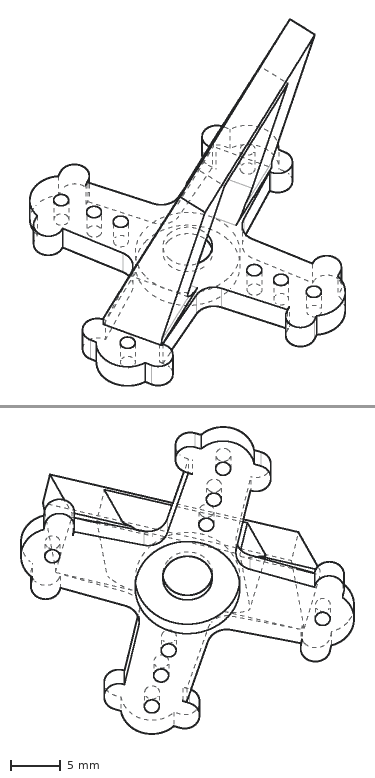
import cadquery as cq
import math

base_thickness = 3.0
corner_hole_offset = 10.0
end_pad_radius = 3.2
ear_radius = 1.5
side_ear = (12.58, 7.65)
edge_ear = (7.35, 12.32)
arm_corner_side = (11.33, 6.7)
arm_corner_edge = (6.45, 11.15)
arm_root_x = 5.2
arm_root_y = 5.27
arm_fillet = 2.0

centre_hole_diameter = 5.0
recess_diameter = 10.6
recess_roof = 1.0
small_hole_diameter = 1.5
middle_hole_distance = 10.45
inner_hole_distance = 7.48

total_height = 27.45
frame_width = 26.0
frame_turn = 45
foot_half_depth = 3.27
foot_top = 3.97
lean_angle = math.radians(20.1)
top_thickness = 2.98
window_width = 14.98
window_fillet = 2.93
window_top_front = 25.55


def arm_end_bar():
    """Rounded bar that joins the two ears of the +X +Y arm."""
    dx = side_ear[0] - edge_ear[0]
    dy = side_ear[1] - edge_ear[1]
    middle = ((side_ear[0] + edge_ear[0]) / 2, (side_ear[1] + edge_ear[1]) / 2)
    length = math.hypot(dx, dy) + 2 * ear_radius
    angle = math.degrees(math.atan2(dy, dx))
    return (
        cq.Workplane("XY")
        .center(*middle)
        .slot2D(length, 2 * ear_radius, angle)
        .extrude(base_thickness)
    )


def base_plate():
    side_x, side_y = arm_corner_side
    edge_x, edge_y = arm_corner_edge
    outline = [
        (arm_root_x, 0), (side_x, side_y), (edge_x, edge_y),
        (0, arm_root_y), (-edge_x, edge_y), (-side_x, side_y),
        (-arm_root_x, 0), (-side_x, -side_y), (-edge_x, -edge_y),
        (0, -arm_root_y), (edge_x, -edge_y), (side_x, -side_y),
    ]
    plate = cq.Workplane("XY").polyline(outline).close().extrude(base_thickness)
    for root in [(arm_root_x, 0), (0, arm_root_y), (-arm_root_x, 0), (0, -arm_root_y)]:
        nearest = cq.selectors.NearestToPointSelector((*root, base_thickness / 2))
        plate = plate.edges("|Z").edges(nearest).fillet(arm_fillet)

    pad = (
        cq.Workplane("XY")
        .center(corner_hole_offset, corner_hole_offset)
        .circle(end_pad_radius)
        .extrude(base_thickness)
    )
    arm_end = arm_end_bar().union(pad)
    right_ends = arm_end.union(arm_end.mirror("XZ"))
    return plate.union(right_ends).union(right_ends.mirror("YZ"))


def cut_holes(body):
    through = 2 * base_thickness
    offset = corner_hole_offset
    small_holes = [(x, y) for x in (-offset, offset) for y in (-offset, offset)]
    for distance in (middle_hole_distance, inner_hole_distance):
        step = distance / math.sqrt(2)
        small_holes += [(step, step), (-step, -step)]
    small = cq.Workplane("XY").pushPoints(small_holes).circle(small_hole_diameter / 2).extrude(through)
    centre = cq.Workplane("XY").circle(centre_hole_diameter / 2).extrude(through)
    recess = cq.Workplane("XY").circle(recess_diameter / 2).extrude(base_thickness - recess_roof)
    return body.cut(small).cut(centre).cut(recess)


def lean_at(height):
    """Position of the leaning front face at a given height."""
    return -foot_half_depth + (height - foot_top) * math.tan(lean_angle)


def frame():
    top_front = lean_at(total_height)
    top_back = top_front + top_thickness * math.cos(lean_angle)
    top_drop = top_thickness * math.sin(lean_angle)
    profile = [
        (-foot_half_depth, base_thickness), (-foot_half_depth, foot_top),
        (top_front, total_height), (top_back, total_height - top_drop),
        (foot_half_depth, foot_top), (foot_half_depth, base_thickness),
    ]
    body = cq.Workplane("XZ").polyline(profile).close().extrude(frame_width / 2, both=True)
    body = body.cut(window())
    return body.rotate((0, 0, 0), (0, 0, 1), frame_turn)


def window():
    """Opening with a rounded bottom and a top square to the front face."""
    reach = total_height
    opening = (
        cq.Workplane("YZ")
        .rect(window_width, 2 * (total_height - base_thickness))
        .extrude(reach, both=True)
        .translate((0, 0, total_height))
        .edges("|X and <Z")
        .fillet(window_fillet)
    )
    front = lean_at(window_top_front)
    slope = math.tan(lean_angle)
    below_top = [
        (-reach, 0), (-reach, window_top_front + (front + reach) * slope),
        (reach, window_top_front + (front - reach) * slope), (reach, 0),
    ]
    limit = cq.Workplane("XZ").polyline(below_top).close().extrude(window_width, both=True)
    return opening.intersect(limit)


result = cut_holes(base_plate()).union(frame())